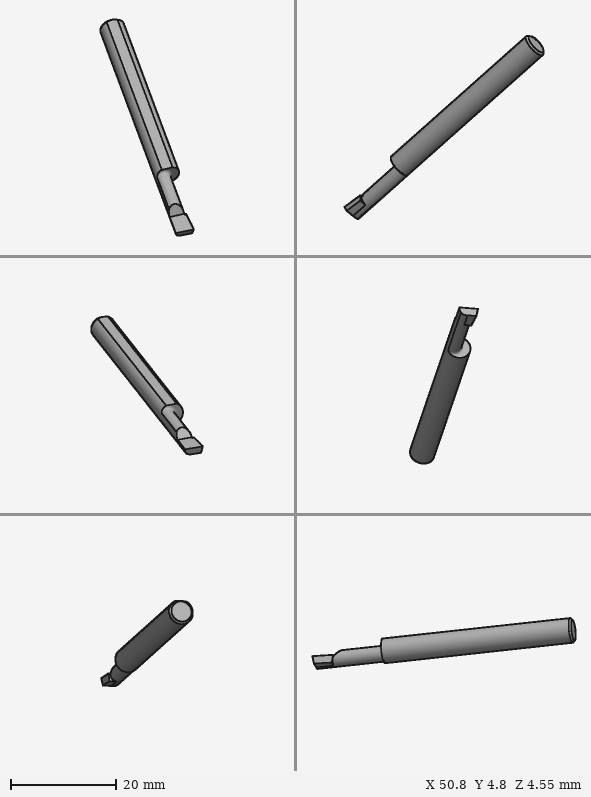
import cadquery as cq
import math

total_length = 50.8
shank_radius = 2.4
shank_length = 37.1
flat_height = 2.15
end_chamfer = 0.4

neck_diameter = 3.1
neck_radius = neck_diameter / 2
neck_y = -1.0
neck_z = -0.05
root_fillet = 0.6

table_z = -0.1
ramp_end = 46.7
ramp_angle = 45.0
head_start = 46.85
head_start_y = 0.85
tip_y = 1.2
end_face_skew = 0.15
relief_angle = 10.0

neck_bottom = neck_z - neck_radius
head_depth = table_z - neck_bottom
skew_per_y = end_face_skew / (tip_y + shank_radius)


def end_face_x(y):
    """X of the end face's top edge at a given Y."""
    return total_length + (y - tip_y) * skew_per_y


def make_bar(length):
    """Round bar with a chamfered back end and the clamping flat."""
    bar = cq.Workplane("YZ").circle(shank_radius).extrude(length)
    bar = bar.faces("<X").chamfer(end_chamfer)
    flat_cutter = cq.Workplane("XY").workplane(offset=flat_height).rect(
        2 * length, 4 * shank_radius
    ).extrude(shank_radius)
    return bar.cut(flat_cutter)


def make_neck():
    """Neck with a concave root fillet, revolved about its own axis."""
    arc_offset = root_fillet * (1 - math.sqrt(0.5))
    profile = (
        cq.Workplane("XY", origin=(0, neck_y, neck_z))
        .moveTo(shank_length, 0)
        .lineTo(shank_length, neck_radius + root_fillet)
        .threePointArc(
            (shank_length + arc_offset, neck_radius + arc_offset),
            (shank_length + root_fillet, neck_radius),
        )
        .lineTo(total_length, neck_radius)
        .lineTo(total_length, 0)
        .close()
    )
    return profile.revolve(360, (0, 0, 0), (1, 0, 0))


def make_head():
    """Flared head whose flank and end face taper inward below the table."""
    outline = [
        (head_start, neck_y),
        (end_face_x(neck_y), neck_y),
        (total_length, tip_y),
        (head_start, head_start_y),
    ]
    return (
        cq.Workplane("XY", origin=(0, 0, table_z))
        .polyline(outline)
        .close()
        .extrude(-head_depth, taper=relief_angle)
    )


def make_table_cutter():
    """Space above the flat table and its sloping run-out."""
    rise = shank_radius - table_z
    ramp_top = ramp_end - rise / math.tan(math.radians(ramp_angle))
    outline = [
        (ramp_end, table_z),
        (total_length, table_z),
        (total_length, shank_radius),
        (ramp_top, shank_radius),
    ]
    return cq.Workplane("XZ").polyline(outline).close().extrude(shank_radius, both=True)


def make_end_cutter():
    """Wedge that carries the relieved end face across the whole neck."""
    low_y = -2 * shank_radius
    high_y = 2 * shank_radius
    beyond = 2 * shank_radius
    outline = [
        (end_face_x(low_y), low_y),
        (total_length + beyond, low_y),
        (total_length + beyond, high_y),
        (end_face_x(high_y), high_y),
    ]
    return (
        cq.Workplane("XY", origin=(0, 0, table_z))
        .polyline(outline)
        .close()
        .extrude(-shank_radius, taper=-relief_angle)
    )


neck = make_neck().cut(make_table_cutter()).cut(make_end_cutter())
working_end = neck.union(make_head()).intersect(make_bar(total_length))
result = make_bar(shank_length).union(working_end)